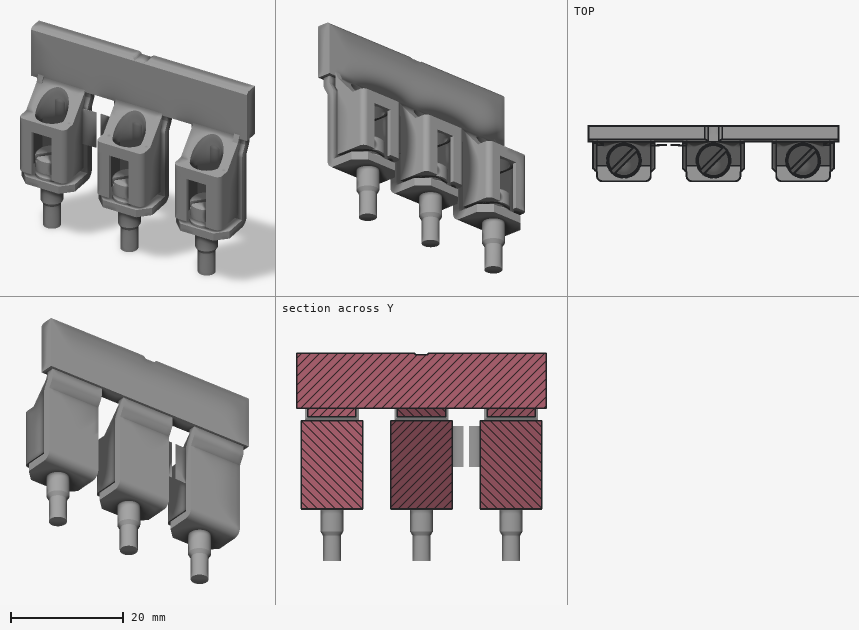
import cadquery as cq
import math


pitch = 15.9
terminal_centers = [-pitch, 0.0, pitch]
clearance = 0.02

bar_length = 44.4
bar_thickness = 2.8
bar_height = 10.0
bar_bottom = 18.0
bar_top = bar_bottom + bar_height
bar_front = 3.36
bar_back = bar_front + bar_thickness
bar_chamfer = 0.45
notch_floor_half = 0.96
notch_bend_half = 1.26
notch_top_half = 1.55
notch_bend_depth = 0.15
notch_depth = bar_chamfer

plate = 1.5
bracket_width = 11.0
bracket_front = 3.11
bracket_joggle = 1.0
joggle_angle = 30.0
joggle_start = 14.88
foot_front = -3.44
foot_chamfer = 2.1

housing_width = 9.6
housing_half = housing_width / 2
housing_front = -3.69
housing_back = 2.83
housing_bottom = 2.5
housing_shoulder = 13.5
shoulder_back = -0.9
slope_end = (3.02, 17.67)
slope_lip_top = 18.42
lip_back = 3.96
lip_corner_cut = 0.9
back_bend = 15.0
housing_corner_radius = 1.0
bore_radius = 3.0
cavity_half = 3.55
cavity_front = -3.14
cavity_corner_radius = 2.5
cavity_top = 11.3
window_width = 4.05
tab_width = 1.1
tab_root = (2.66, 17.18)
tab_top = 18.8
flag_reach = 7.5
flag_thickness = 0.1
flag_bottom = 7.6
flag_top = 14.9
flag_root_y = 2.58
flag_angle = 3.0
flag_overlap = 0.4

shank_radius = 2.04
shank_end = -3.83
pilot_radius = 1.6
pilot_start = -4.57
pilot_end = -9.1
collar_radius = 3.05
collar_rim_top = 2.0
collar_top = 2.4
neck_radius = 2.15
head_radius = bore_radius - clearance
head_bottom = 2.85
head_top = 5.55
head_chamfer = 0.25
slot_width = 0.9
slot_depth = 1.2
slot_angle = 45.0


def extrude_across(profile, width):
    """Extrude a closed YZ profile symmetrically about X = 0."""
    return profile.close().extrude(width / 2, both=True)


def make_bar():
    body = cq.Workplane("XY").box(bar_length, bar_thickness, bar_height, centered=(True, False, False))
    body = body.translate((0, bar_front, bar_bottom))
    body = body.edges(">Z and <Y").chamfer(bar_chamfer)
    notch = (
        cq.Workplane("XZ", origin=(0, bar_back, 0))
        .moveTo(-notch_top_half, bar_top)
        .lineTo(-notch_bend_half, bar_top - notch_bend_depth)
        .lineTo(-notch_floor_half, bar_top - notch_depth)
        .lineTo(notch_floor_half, bar_top - notch_depth)
        .lineTo(notch_bend_half, bar_top - notch_bend_depth)
        .lineTo(notch_top_half, bar_top)
        .close()
        .extrude(bar_thickness)
    )
    return body.cut(notch)


def make_bracket():
    lean = math.radians(joggle_angle)
    joggle_end = joggle_start + bracket_joggle / math.tan(lean)
    back_drop = plate * math.tan(lean / 2)
    upright_back = bracket_front + plate
    upper_front = bracket_front + bracket_joggle
    upper_back = upper_front + plate
    profile = (
        cq.Workplane("YZ")
        .moveTo(foot_front, 0)
        .lineTo(upright_back, 0)
        .lineTo(upright_back, joggle_start - back_drop)
        .lineTo(upper_back, joggle_end - back_drop)
        .lineTo(upper_back, bar_bottom)
        .lineTo(upper_front, bar_bottom)
        .lineTo(upper_front, joggle_end)
        .lineTo(bracket_front, joggle_start)
        .lineTo(bracket_front, plate)
        .lineTo(foot_front, plate)
    )
    body = extrude_across(profile, bracket_width)

    outer_bends = [
        (upright_back, 0),
        (upper_back, joggle_end - back_drop),
        (bracket_front, joggle_start),
    ]
    for y, z in outer_bends:
        body = body.edges(cq.selectors.NearestToPointSelector((0, y, z))).fillet(plate)

    body = body.edges("|Z and <Y").chamfer(foot_chamfer)
    hole = cq.Workplane("XY").circle(shank_radius).extrude(plate)
    return body.cut(hole)


def make_housing(tab_side, flag_side):
    """Each side is -1 for left, +1 for right or 0 for none."""
    lean = math.radians(joggle_angle)
    lip_corner = back_bend + (lip_back - housing_back) / math.tan(lean)
    profile = (
        cq.Workplane("YZ")
        .moveTo(housing_front, housing_bottom)
        .lineTo(housing_front, housing_shoulder)
        .lineTo(shoulder_back, housing_shoulder)
        .lineTo(*slope_end)
        .tangentArcPoint((bar_front, slope_lip_top), relative=False)
        .lineTo(bar_front, bar_bottom)
        .lineTo(lip_back, bar_bottom)
        .lineTo(lip_back, lip_corner)
        .lineTo(housing_back, back_bend)
        .lineTo(housing_back, housing_bottom)
    )
    body = extrude_across(profile, housing_width)
    body = body.edges("|Z and <Y").fillet(housing_corner_radius)
    for side in (-1, 1):
        corner_cut = (
            cq.Workplane("XY")
            .moveTo(side * housing_half, bar_front)
            .lineTo(side * (housing_half - lip_corner_cut), lip_back)
            .lineTo(side * housing_half, lip_back)
            .close()
            .extrude(bar_bottom)
        )
        body = body.cut(corner_cut)

    bore = cq.Workplane("XY", origin=(0, 0, housing_bottom)).circle(bore_radius)
    body = body.cut(bore.extrude(bar_top - housing_bottom))
    cavity = (
        cq.Workplane("XY", origin=(0, cavity_front, housing_bottom))
        .box(2 * cavity_half, housing_back - cavity_front, cavity_top - housing_bottom,
             centered=(True, False, False))
        .edges("|Z and <Y")
        .fillet(cavity_corner_radius)
    )
    body = body.cut(cavity)

    window = (
        cq.Workplane("XY", origin=(0, housing_front, housing_bottom))
        .box(window_width, -housing_front, cavity_top - housing_bottom, centered=(True, False, False))
    )
    body = body.cut(window)

    if tab_side:
        tab = (
            cq.Workplane("YZ", origin=(tab_side * (housing_half - tab_width), 0, 0))
            .moveTo(*tab_root)
            .lineTo(bar_front, tab_top)
            .lineTo(bar_front, tab_root[1])
            .close()
            .extrude(tab_side * tab_width)
        )
        body = body.union(tab)

    if flag_side:
        root = housing_half - flag_overlap
        flag = (
            cq.Workplane("XY", origin=(0, flag_root_y, flag_bottom))
            .box(flag_reach - root, flag_thickness, flag_top - flag_bottom,
                 centered=(False, False, False))
            .rotate((0, flag_root_y, 0), (0, flag_root_y, 1), flag_angle)
            .translate((root, 0, 0))
        )
        if flag_side < 0:
            flag = flag.mirror("YZ")
        body = body.union(flag)
    return body


def make_screw():
    body = (
        cq.Workplane("XZ")
        .moveTo(0, pilot_end)
        .lineTo(pilot_radius, pilot_end)
        .lineTo(pilot_radius, pilot_start)
        .lineTo(shank_radius, shank_end)
        .lineTo(shank_radius, plate)
        .lineTo(collar_radius, plate)
        .lineTo(collar_radius, collar_rim_top)
        .lineTo(neck_radius, collar_top)
        .lineTo(neck_radius, head_bottom)
        .lineTo(head_radius, head_bottom)
        .lineTo(head_radius, head_top - head_chamfer)
        .lineTo(head_radius - head_chamfer, head_top)
        .lineTo(0, head_top)
        .close()
        .revolve(360, (0, 0, 0), (0, 1, 0))
    )
    slot = (
        cq.Workplane("XY", origin=(0, 0, head_top - slot_depth))
        .box(2 * head_radius, slot_width, slot_depth, centered=(True, True, False))
        .rotate((0, 0, 0), (0, 0, 1), slot_angle)
    )
    return body.cut(slot)


bar = make_bar()
brackets = [make_bracket().translate((x, 0, 0)) for x in terminal_centers]
screws = [make_screw().translate((x, 0, 0)) for x in terminal_centers]

tab_sides = [-1, 0, 1]
flag_sides = [1, -1, 0]
housings = []
for x, tab_side, flag_side in zip(terminal_centers, tab_sides, flag_sides):
    housings.append(make_housing(tab_side, flag_side).translate((x, 0, 0)))

result = cq.Compound.makeCompound([body.val() for body in [bar, *brackets, *housings, *screws]])